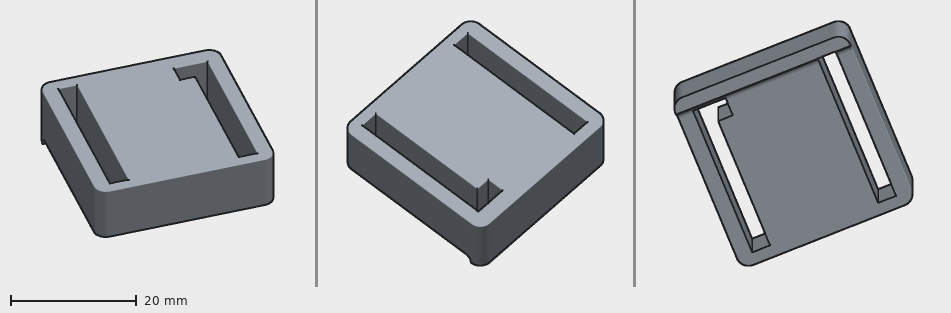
import cadquery as cq
side = 30.0
total_height = 10.4
body_height = 9.2
body_bottom = total_height - body_height
corner_radius = 2.0
edge_round = 0.12

lip_width = 2.3
lip_fillet = 1.0

slot_width = 3.05

front_slot_left = 2.22
front_slot_right = 28.02
front_slot_bottom = 2.7

back_slot_left = 2.97
back_slot_right = 28.0
back_slot_top = 27.35
leg_length = 5.58


def box_between(x_min, x_max, y_min, y_max):
    """Full-height box spanning the given X and Y ranges."""
    size = (x_max - x_min, y_max - y_min, total_height)
    return cq.Workplane("XY").box(*size, centered=False).translate((x_min, y_min, 0))


def lipped_block():
    """Rounded square block with the lip blended into its underside."""
    profile = (
        cq.Workplane("XZ")
        .lineTo(lip_width, 0)
        .lineTo(lip_width, body_bottom - lip_fillet)
        .radiusArc((lip_width + lip_fillet, body_bottom), lip_fillet)
        .lineTo(side, body_bottom)
        .lineTo(side, total_height)
        .lineTo(0, total_height)
        .close()
        .extrude(-side)
    )
    outline = box_between(0, side, 0, side).edges("|Z").fillet(corner_radius)
    block = profile.intersect(outline)
    underside_edge = cq.selectors.NearestToPointSelector((side, side / 2, body_bottom))
    return block.edges(underside_edge).fillet(edge_round).faces(">Z").edges().fillet(edge_round)


def cut_slots(block):
    """Cut both slots right through and round the edges of their mouths."""
    front_slot = box_between(front_slot_left, front_slot_right,
                             front_slot_bottom, front_slot_bottom + slot_width)
    back_slot = box_between(back_slot_left, back_slot_right,
                            back_slot_top - slot_width, back_slot_top)
    back_leg = box_between(back_slot_left, back_slot_left + slot_width,
                           back_slot_top - leg_length, back_slot_top)
    slotted = block.cut(front_slot).cut(back_slot.union(back_leg))
    mouth_edges = [edge for wire in slotted.faces(">Z").val().innerWires() for edge in wire.Edges()]
    return slotted.newObject(mouth_edges).fillet(edge_round)


result = cut_slots(lipped_block())